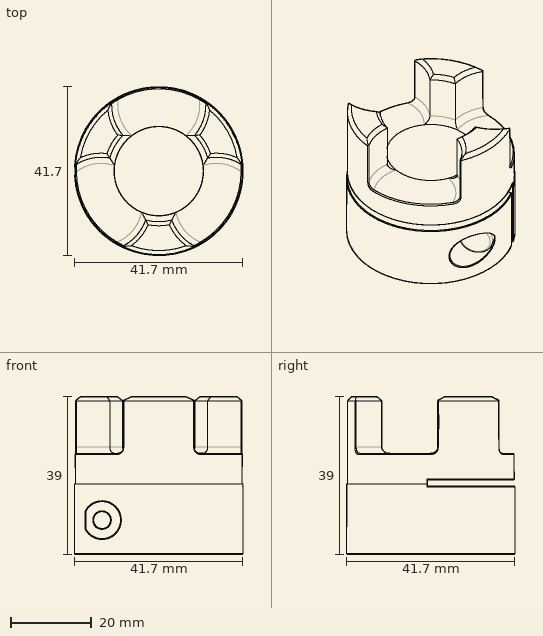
import cadquery as cq
import math

collar_radius = 20.85
collar_height = 17.45
jaw_radius = 20.65
bore_radius = 11.0
total_height = 39.0
edge_break = 0.2

claw_count = 3
floor_height = 25.0
floor_fillet = 1.5
pocket_edge_break = 0.3
claw_inner_radius = bore_radius + floor_fillet
claw_chamfer = 1.0
lobe_radius = 11.65
lobe_distance = 16.4

seam_angle = 30.0

slit_bottom = 16.93
slit_top = 18.45
slit_half_width = 0.8
slit_reach = 2 * collar_radius

screw_x = -14.0
screw_z = 8.5
recess_radius = 4.6
head_seat_y = 6.0
end_seat_y = -10.25
head_top_y = 10.67
head_radius = 4.25
head_fillet = 0.5
shank_radius = 2.5
thread_radius = 2.1

turned_levels = (0, edge_break, collar_height, total_height - claw_chamfer)
pocket_rim_level = (slit_top + floor_height) / 2
tolerance = 0.001


def y_cylinder(radius, y_start, y_end):
    """Cylinder on the screw axis between two Y positions."""
    axis_start = cq.Vector(screw_x, y_start, screw_z)
    solid = cq.Solid.makeCylinder(radius, y_end - y_start, axis_start, cq.Vector(0, 1, 0))
    return cq.Workplane(solid)


def pocket_cutter(radius):
    """Round cutter reaching down to the jaw floor, its bottom rim rounded to leave a root fillet."""
    depth = total_height - floor_height
    cylinder = cq.Workplane("XY").workplane(offset=floor_height).circle(radius).extrude(depth)
    return cylinder.faces("<Z").edges().fillet(floor_fillet)


def make_jaw_cutter():
    """Space between the claws: a central pocket joined with three lobe pockets."""
    cutter = pocket_cutter(claw_inner_radius)
    lobe = pocket_cutter(lobe_radius).translate((0, lobe_distance, 0))
    for i in range(claw_count):
        cutter = cutter.union(lobe.rotate((0, 0, 0), (0, 0, 1), i * 360 / claw_count))
    return cutter


def lies_on_radius(edge, radius):
    """True for an edge that runs along the cylinder of this radius about Z."""
    points = [edge.positionAt(fraction) for fraction in (0, 0.3, 0.5, 1)]
    return all(abs(math.hypot(point.x, point.y) - radius) < tolerance for point in points)


def is_cut_rim(edge):
    """True for an outer edge left by a pocket, slit or recess, not by the turning."""
    center = edge.Center()
    on_outside = lies_on_radius(edge, collar_radius) or lies_on_radius(edge, jaw_radius)
    on_turned_edge = any(abs(center.z - level) < tolerance for level in turned_levels)
    center_angle = math.degrees(math.atan2(center.y, center.x))
    on_seam = abs(center_angle - seam_angle) < tolerance
    return on_outside and not on_turned_edge and not on_seam


def cut_rims(body, lowest, highest):
    """Outer rims of the cuts whose centres lie between two heights."""
    rims = [edge for edge in body.edges().vals() if is_cut_rim(edge)]
    return body.newObject([edge for edge in rims if lowest < edge.Center().z < highest])


def make_blank():
    """Turned collar and jaw section with the claws cut, chamfered and bored out."""
    collar = cq.Workplane("XY").circle(collar_radius).extrude(collar_height)
    collar = collar.faces("<Z").edges().chamfer(edge_break)
    jaw_section = (
        cq.Workplane("XY")
        .workplane(offset=collar_height)
        .circle(jaw_radius)
        .extrude(total_height - collar_height)
    )
    turned = collar.union(jaw_section).rotate((0, 0, 0), (0, 0, 1), seam_angle)
    blank = turned.cut(make_jaw_cutter())
    blank = blank.faces(">Z").edges().chamfer(claw_chamfer)
    bore = cq.Workplane("XY").circle(bore_radius).extrude(total_height)
    blank = blank.cut(bore)
    return cut_rims(blank, pocket_rim_level, total_height).chamfer(pocket_edge_break)


def make_slits():
    """Cross slit under the jaws and lengthwise slit through the -X wall."""
    cross_slit = cq.Workplane("XY").box(
        2 * slit_reach, slit_reach, slit_top - slit_bottom, centered=(True, False, False)
    ).translate((0, -slit_half_width, slit_bottom))
    wall_slit = cq.Workplane("XY").box(
        slit_reach, 2 * slit_half_width, slit_top, centered=(False, True, False)
    ).translate((-slit_reach, 0, 0))
    return cross_slit.union(wall_slit)


def make_screw_cavity():
    """Recesses on both sides, shank hole through the arm and threaded hole beyond the slit."""
    head_recess = y_cylinder(recess_radius, head_seat_y, collar_radius)
    end_recess = y_cylinder(recess_radius, -collar_radius, end_seat_y)
    shank_hole = y_cylinder(shank_radius, -slit_half_width, head_seat_y)
    thread_hole = y_cylinder(thread_radius, end_seat_y, -slit_half_width)
    countersink = cq.Workplane(
        cq.Solid.makeCone(
            thread_radius + edge_break,
            thread_radius,
            edge_break,
            cq.Vector(screw_x, end_seat_y, screw_z),
            cq.Vector(0, 1, 0),
        )
    )
    return head_recess.union(end_recess).union(shank_hole).union(thread_hole).union(countersink)


def make_hub():
    """Blank with the clamp slits and the screw cavity cut and their outer rims chamfered."""
    hub = make_blank().cut(make_slits()).cut(make_screw_cavity())
    return cut_rims(hub, 0, pocket_rim_level).chamfer(edge_break)


def make_screw():
    """Cap screw: rounded head, shank across the slit, thread ending below its countersink."""
    head = y_cylinder(head_radius, head_seat_y, head_top_y).faces(">Y").edges().fillet(head_fillet)
    shank = y_cylinder(shank_radius, -slit_half_width, head_seat_y)
    thread = y_cylinder(thread_radius, end_seat_y + edge_break, -slit_half_width)
    return head.union(shank).union(thread)


hub = make_hub()
screw = make_screw()

result = cq.Compound.makeCompound([hub.solids().val(), screw.solids().val()])